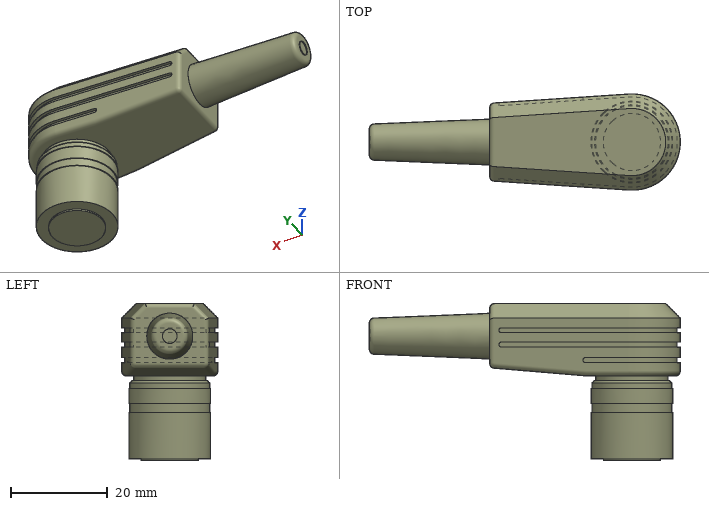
import cadquery as cq
import math

overall_length = 64.3
nose_radius = 9.95
housing_height = 15.0
housing_length = 29.45
cable_face_half_width = 8.05
top_chamfer = 3.0
edge_radius = 1.0
cable_face_x = -housing_length

ramp_start_x = -9.5
ramp_rise = 1.7

groove_width = 1.0
groove_depth = 0.65
grooves = [(9.45, -27.5), (6.5, -27.5), (3.3, -10.15)]

boot_axis_z = 8.2
boot_root_diameter = 9.5
boot_tip_diameter = 7.45
boot_tip_radius = 1.1
boot_tip_x = nose_radius - overall_length
cable_hole_diameter = 3.0
cable_hole_depth = 0.2

coupling_x = -0.05
neck_diameter = 15.0
band_diameter = 16.6
ring_diameter = 16.9
insert_diameter = 11.8
collar_top_z = -0.9
collar_chamfer = 0.6
upper_ring_top_z = -2.6
upper_ring_bottom_z = -5.65
sleeve_top_z = -7.6
sleeve_bottom_z = -17.1
insert_bottom_z = -17.5


def plan_outline(workplane, inset):
    """Teardrop outline: straight sides tangent to the round nose, moved inwards by inset."""
    radius = nose_radius - inset
    face_distance = math.hypot(housing_length, cable_face_half_width)
    corner_angle = math.atan2(cable_face_half_width, -housing_length)
    tangent_angle = corner_angle - math.acos(nose_radius / face_distance)
    tangent_x = radius * math.cos(tangent_angle)
    tangent_y = radius * math.sin(tangent_angle)
    face_y = (radius - cable_face_x * math.cos(tangent_angle)) / math.sin(tangent_angle)
    return (
        workplane.moveTo(cable_face_x, -face_y)
        .lineTo(tangent_x, -tangent_y)
        .threePointArc((radius, 0), (tangent_x, tangent_y))
        .lineTo(cable_face_x, face_y)
        .close()
    )


def make_housing():
    shoulder_z = housing_height - top_chamfer
    lower = plan_outline(cq.Workplane("XY"), 0).extrude(shoulder_z)
    upper_base = plan_outline(cq.Workplane("XY").workplane(offset=shoulder_z), 0)
    upper = plan_outline(upper_base.workplane(offset=top_chamfer), top_chamfer).loft(ruled=True)
    body = lower.union(upper)
    ramp = (
        cq.Workplane("XZ")
        .polyline([(ramp_start_x, 0), (cable_face_x, ramp_rise), (cable_face_x, 0)])
        .close()
        .extrude(nose_radius, both=True)
    )
    body = body.cut(ramp)
    rim = body.faces("<X").edges()
    for underside_point in [(0, 0, 0), ((ramp_start_x + cable_face_x) / 2, 0, ramp_rise / 2)]:
        underside = body.faces(cq.selectors.NearestToPointSelector(underside_point))
        rim = rim.add(underside.edges("not |Y"))
    return rim.fillet(edge_radius)


def make_groove(center_z, end_x):
    """Band around the sides and nose that ends in a half round on each side."""
    half_width = groove_width / 2
    base = cq.Workplane("XY").workplane(offset=center_z - half_width)
    band = plan_outline(base, -groove_depth).extrude(groove_width)
    band = band.cut(plan_outline(base, groove_depth).extrude(groove_width))
    reach = 2 * nose_radius
    window = (
        cq.Workplane("XZ")
        .moveTo(reach, center_z - half_width)
        .lineTo(end_x + half_width, center_z - half_width)
        .threePointArc((end_x, center_z), (end_x + half_width, center_z + half_width))
        .lineTo(reach, center_z + half_width)
        .close()
        .extrude(reach, both=True)
    )
    return band.intersect(window)


def make_boot():
    length = cable_face_x - boot_tip_x
    boot = (
        cq.Workplane("YZ", origin=(boot_tip_x, 0, boot_axis_z))
        .circle(boot_tip_diameter / 2)
        .workplane(offset=length)
        .circle(boot_root_diameter / 2)
        .loft()
        .faces("<X")
        .edges()
        .fillet(boot_tip_radius)
    )
    hole = (
        cq.Workplane("YZ", origin=(boot_tip_x, 0, boot_axis_z))
        .circle(cable_hole_diameter / 2)
        .extrude(cable_hole_depth)
    )
    return boot.cut(hole)


def make_disc(diameter, top_z, bottom_z):
    return cq.Workplane("XY", origin=(coupling_x, 0, bottom_z)).circle(diameter / 2).extrude(top_z - bottom_z)


def make_coupling():
    collar = make_disc(band_diameter, collar_top_z, upper_ring_top_z)
    coupling = collar.faces(">Z").edges().chamfer(collar_chamfer)
    levels = [
        (neck_diameter, 0, collar_top_z),
        (ring_diameter, upper_ring_top_z, upper_ring_bottom_z),
        (band_diameter, upper_ring_bottom_z, sleeve_top_z),
        (ring_diameter, sleeve_top_z, sleeve_bottom_z),
        (insert_diameter, sleeve_bottom_z, insert_bottom_z),
    ]
    for diameter, top_z, bottom_z in levels:
        coupling = coupling.union(make_disc(diameter, top_z, bottom_z))
    return coupling


housing = make_housing()
for groove_z, groove_end_x in grooves:
    housing = housing.cut(make_groove(groove_z, groove_end_x))

result = housing.union(make_boot()).union(make_coupling())